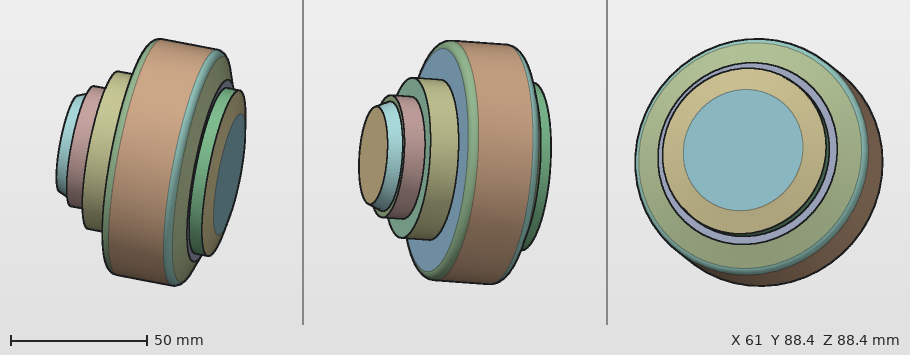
import cadquery as cq
import math

tip_length = 5.1
tip_end_radius = 18.0
tip_base_radius = 20.2
pin_end = 13.0
pin_radius = 22.5
collar_end = 23.8
collar_radius = 29.5
roller_radius = 44.2
edge_radius = 3.1
rim_end = 47.7
cone_end = 54.0
cone_end_radius = 34.0
flange_radius = 31.0
flange_end = 58.9
total_length = 61.0
end_face_radius = 22.7

arc_centre_radius = roller_radius - edge_radius
reach_x = cone_end - rim_end
reach_r = cone_end_radius - arc_centre_radius
tangent_angle = math.atan2(reach_x, reach_r) - math.acos(edge_radius / math.hypot(reach_x, reach_r))


def rim_arc_point(angle):
    """Point on the right rim arc, with the angle measured from the radial direction."""
    return (
        rim_end + edge_radius * math.sin(angle),
        arc_centre_radius + edge_radius * math.cos(angle),
    )


def left_arc_middle():
    """Middle of the quarter round on the left rim edge."""
    inset = edge_radius * (1 - math.sqrt(0.5))
    return (collar_end + inset, roller_radius - inset)


profile = (
    cq.Workplane("XY")
    .moveTo(0, 0)
    .lineTo(0, tip_end_radius)
    .lineTo(tip_length, tip_base_radius)
    .lineTo(tip_length, pin_radius)
    .lineTo(pin_end, pin_radius)
    .lineTo(pin_end, collar_radius)
    .lineTo(collar_end, collar_radius)
    .lineTo(collar_end, arc_centre_radius)
    .threePointArc(left_arc_middle(), (collar_end + edge_radius, roller_radius))
    .lineTo(rim_end, roller_radius)
    .threePointArc(rim_arc_point(tangent_angle / 2), rim_arc_point(tangent_angle))
    .lineTo(cone_end, cone_end_radius)
    .lineTo(cone_end, flange_radius)
    .lineTo(flange_end, flange_radius)
    .lineTo(total_length, end_face_radius)
    .lineTo(total_length, 0)
    .close()
)

result = profile.revolve(360, (0, 0, 0), (1, 0, 0))